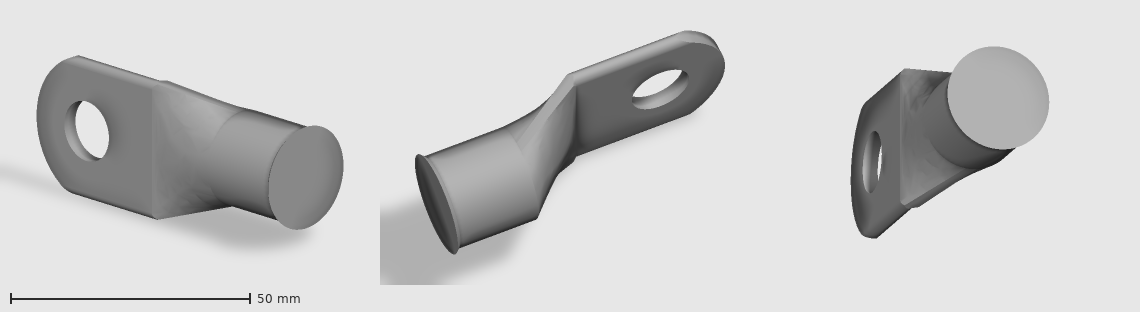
import cadquery as cq
import math

total_length = 69.02
tongue_width = 30.48
flare_diameter = 22.35

tongue_length = 33.95
tongue_thickness = 3.3
edge_land = 0.002
end_arc_radius = 16.4
stud_hole_diameter = 13.1
stud_hole_offset = 14.75

barrel_diameter = 20.6
barrel_start = 50.2
flare_length = 1.0
side_strip_width = 2.3

barrel_radius = barrel_diameter / 2
flare_radius = flare_diameter / 2
flare_start = total_length - flare_length
edge_radius = (tongue_thickness - edge_land) / 2
tongue_front = -barrel_radius
tongue_middle = tongue_front + tongue_thickness / 2
tongue_back = tongue_front + tongue_thickness


def section_plane(x):
    """Plane across the part at x, with local x along Y and local y along Z."""
    return cq.Plane(origin=(x, 0, 0), xDir=(0, 1, 0), normal=(1, 0, 0))


def tongue_section(workplane):
    """Sharp-cornered flat section of the tongue."""
    half_width = tongue_width / 2
    return (
        workplane.moveTo(tongue_front, -half_width)
        .lineTo(tongue_front, half_width)
        .lineTo(tongue_back, half_width)
        .lineTo(tongue_back, -half_width)
        .close()
    )


def barrel_section(workplane):
    """Barrel circle in four arcs that pair with the four sides of the tongue section."""
    strip_half = side_strip_width / 2
    strip_height = math.sqrt(barrel_radius**2 - strip_half**2)
    return (
        workplane.moveTo(-strip_half, -strip_height)
        .threePointArc((-barrel_radius, 0), (-strip_half, strip_height))
        .threePointArc((0, barrel_radius), (strip_half, strip_height))
        .threePointArc((barrel_radius, 0), (strip_half, -strip_height))
        .threePointArc((0, -barrel_radius), (-strip_half, -strip_height))
        .close()
    )


def make_tongue():
    """Flat blade with an arched end and a stud hole."""
    arch = (
        cq.Workplane("XZ", origin=(end_arc_radius, tongue_back, 0))
        .circle(end_arc_radius)
        .extrude(tongue_thickness)
    )
    body = (
        cq.Workplane("XY", origin=(end_arc_radius, tongue_middle, 0))
        .box(
            tongue_length - end_arc_radius,
            tongue_thickness,
            2 * end_arc_radius,
            centered=(False, True, True),
        )
    )
    blade = tongue_section(cq.Workplane(section_plane(0))).extrude(tongue_length)
    stud_hole = (
        cq.Workplane("XZ", origin=(stud_hole_offset, tongue_back, 0))
        .circle(stud_hole_diameter / 2)
        .extrude(tongue_thickness)
    )
    return blade.intersect(arch.union(body)).cut(stud_hole)


def make_neck():
    """Transition from the flat tongue to the round barrel."""
    start = tongue_section(cq.Workplane(section_plane(tongue_length)))
    finish = barrel_section(cq.Workplane(section_plane(barrel_start)))
    neck = cq.Solid.makeLoft([start.val(), finish.val()], True)
    return cq.Workplane(neck)


def make_barrel():
    """Round barrel with a conical flare at its open end."""
    profile = (
        cq.Workplane("XY")
        .moveTo(barrel_start, 0)
        .lineTo(barrel_start, barrel_radius)
        .lineTo(flare_start, barrel_radius)
        .lineTo(total_length, flare_radius)
        .lineTo(total_length, 0)
        .close()
    )
    return profile.revolve(360, (0, 0, 0), (1, 0, 0))


def is_tongue_edge(edge):
    """True for the long outer edges of the tongue."""
    return math.isclose(abs(edge.Center().z), tongue_width / 2, abs_tol=1e-3)


def round_tongue_edges(body):
    """Fillet the tongue's four long edges; the rounding runs out into the neck."""
    long_edges = [edge for edge in body.edges("|X").vals() if is_tongue_edge(edge)]
    return body.newObject(long_edges).fillet(edge_radius)


lug = make_tongue().union(make_neck()).union(make_barrel())
result = round_tongue_edges(lug)